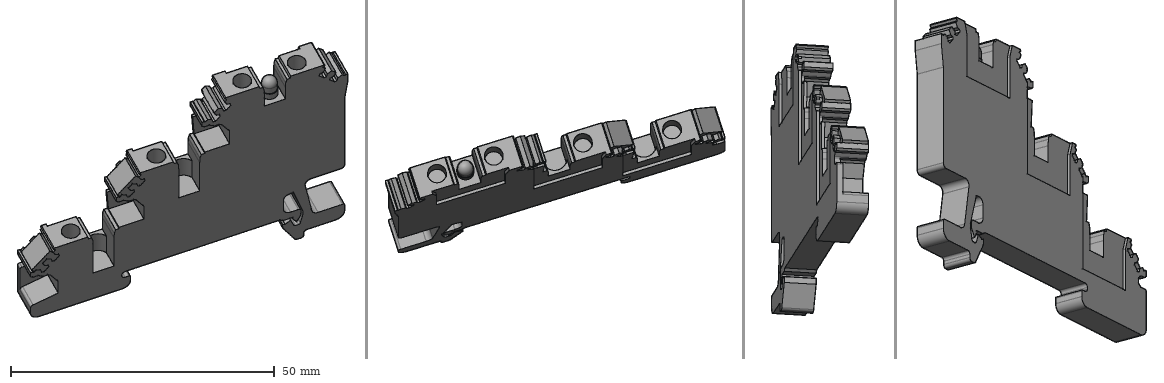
import cadquery as cq
import math


WIDTH = 6.2
LEVEL_STEP_Y = 17.7
LEVEL_STEP_Z = 13.65
TOP_Z = 48.3
END_REACH = 15.1
LEVELS = [(LEVEL_STEP_Y * (1 - n), TOP_Z - LEVEL_STEP_Z * n) for n in range(3)]
TOP_LEVEL, MIDDLE_LEVEL, LOW_LEVEL = LEVELS

SLOT_HALF = 2.15
SLOT_DEPTH = 6.2
SHELF_DROP = 0.6
SHELF_HALF = 2.5

BORE_X = 3.55
SCREW_OFFSET = 5.65
SCREW_RADIUS = 1.8
SCREW_DEPTH = 4.6
POCKET_RADIUS = 2.35
POCKET_DEPTH = 4.85
RECESS_DEPTH = 0.6
RECESS_DROP = 11.0
RECESS_KNEE = 2.6
RECESS_LEAN = 0.8
TOP_RECESS_HALF = 6.8
STEP_RECESS_FRONT = -8.4
STEP_RECESS_REAR = 5.25
SIDE_WALL = 1.2

GROOVE_CENTRE = (-9.65, -3.2)
GROOVE_PITCH = 3.1
LIP_HALF = 0.9
LIP_HEIGHT = 2.05
TAG_HEIGHT = 2.95
TAG_TAIL = 4.45

FLANGE_RADIUS = 1.65
FLANGE_HEIGHT = 1.5
LENS_RADIUS = 1.5
LENS_BARREL = 1.5



def at_level(points, level):
    return [(y + level[0], z + level[1]) for y, z in points]


def mirrored(points):
    """Mirror level points about the slot's centre, and turn their order round."""
    return [(-y, z) for y, z in reversed(points)]


def extruded(points, x_start=0.0, x_end=WIDTH):
    plane = cq.Workplane("YZ", origin=(x_start, 0, 0))
    return plane.polyline(points).close().extrude(x_end - x_start)


def slope_point(along, height):
    """Level point given by its distance down the 45-degree marker line and its height above it."""
    half_root = math.sqrt(0.5)
    y = GROOVE_CENTRE[0] - (along + height) * half_root
    z = GROOVE_CENTRE[1] - (along - height) * half_root
    return (y, z)


def marker_grooves():
    """Two undercut grooves, each symmetric about its middle, listed from the top down."""
    half_groove = [(LIP_HALF, LIP_HEIGHT), (0.625, 1.05), (1.0, 0.4), (0.7, 0)]
    points = []
    for middle in (0, GROOVE_PITCH):
        points += [slope_point(middle - s, h) for s, h in half_groove]
        points += [slope_point(middle + s, h) for s, h in reversed(half_groove)]
    return points



SLOT_WALL = [
    (-SLOT_HALF, -SLOT_DEPTH),
    (-SLOT_HALF, -2.75),
    (-2.2, -1.45),
    (-SHELF_HALF, -SHELF_DROP),
]
TERMINAL_TOP = [(-3.1, -SHELF_DROP), (-3.3, 0), (-10.2, 0), (-10.4, -0.25), (-10.0, -0.65)]
NOSE_TIP = [(-14.45, -5.1), (-14.65, -4.9), (-END_REACH, -4.9)]
TERMINAL = SLOT_WALL + TERMINAL_TOP + marker_grooves() + NOSE_TIP

NOTCH_BACK = -12.6
NOTCH_FLOOR = -8.8
NOTCH_RADIUS = 0.3
NOTCH_CORNERS = [(NOTCH_BACK, -7.1), (NOTCH_BACK, -8.3)]
NOSE_NOTCH = [
    (-END_REACH, -6.05),
    (-14.65, -6.45),
    (-13.5, -6.45),
    *NOTCH_CORNERS,
    (-13.4, NOTCH_FLOOR),
]
STEP_WALL = [(-14.85, NOTCH_FLOOR), (-14.5, -LEVEL_STEP_Z - SHELF_DROP)]


BACK_Y = 32.2
RAIL_Z = 7.3
FOOT_Z = 2.5
FRONT_Y = LOW_LEVEL[0] - END_REACH
REAR_FOOT_Z = 1.9
HEEL_Y = -12.15
BACK_FLOOR_Z = 16.35

FRONT_FOOT = [
    (FRONT_Y, LOW_LEVEL[1] + NOTCH_FLOOR, 0.4),
    (FRONT_Y, FOOT_Z, 1.8),
    (HEEL_Y, FOOT_Z, 1.7),
    (HEEL_Y, 5.65, 0.3),
    (-13.9, 5.65, 0.65),
    (-13.9, RAIL_Z, 0.65),
]
HOOK = [
    (18.8, RAIL_Z, 0),
    (19.4, 6.8, 0),
    (21.5, 6.8, 0),
    (21.5, 6.3, 0),
    (22.2, 5.2, 0),
    (23.1, 6.75, 0),
    (23.1, 8.6, 0.5),
]
SPRING_GAP = [
    (19.5, 8.6, 1.45),
    (19.5, 14.0, 1.25),
    (21.6, 14.0, 0),
    (23.5, 7.7, 0),
    (23.5, 6.75, 0),
    (22.9, 4.2, 0.4),
    (21.7, 4.2, 0.4),
    (20.95, 6.25, 0),
]
REAR_FOOT = [
    (19.8, 5.6, 0),
    (19.3, 5.8, 0),
    (19.35, 4.6, 0),
    (22.0, 0, 0.65),
    (23.7, 0, 0.65),
    (23.7, REAR_FOOT_Z, 0.6),
    (BACK_Y, REAR_FOOT_Z, 2.0),
    (BACK_Y, 5.85, 0.45),
    (25.55, 5.85, 1.3),
]
BACK = [
    (23.75, BACK_FLOOR_Z, 1.2),
    (BACK_Y, BACK_FLOOR_Z, 0.9),
    (BACK_Y, 36.75, 0),
    (TOP_LEVEL[0] + END_REACH, 41.35, 0),
]
UNDERSIDE = FRONT_FOOT + HOOK + SPRING_GAP + REAR_FOOT + BACK


def round_edge(body, y, z, radius):
    """Round the edge along X that passes through (y, z)."""
    reach = 0.03
    corner_box = cq.selectors.BoxSelector((0, y - reach, z - reach), (WIDTH, y + reach, z + reach))
    return body.edges("|X").edges(corner_box).fillet(radius)


def housing_blank():
    outline = at_level(mirrored(TERMINAL), TOP_LEVEL)
    for level, next_level in ((TOP_LEVEL, MIDDLE_LEVEL), (MIDDLE_LEVEL, LOW_LEVEL)):
        outline += at_level(TERMINAL + NOSE_NOTCH + STEP_WALL, level)
        outline += at_level(mirrored(SLOT_WALL), next_level)
    outline += at_level(TERMINAL + NOSE_NOTCH, LOW_LEVEL)
    outline += [(y, z) for y, z, _ in UNDERSIDE]
    blank = extruded(outline)
    for y, z, radius in UNDERSIDE:
        if radius > 0:
            blank = round_edge(blank, y, z, radius)
    for level in LEVELS:
        for y, z in at_level(NOTCH_CORNERS, level):
            blank = round_edge(blank, y, z, NOTCH_RADIUS)
    return blank




def recess_side(y):
    """Outer side of a recess at the level point y, upright below and leaning outwards to the top."""
    return [(y, -RECESS_DROP), (y, -RECESS_KNEE), (y + math.copysign(RECESS_LEAN, y), 0)]


TOP_RECESS = recess_side(TOP_RECESS_HALF) + mirrored(recess_side(TOP_RECESS_HALF))
STEP_RECESS = recess_side(STEP_RECESS_FRONT) + [
    (STEP_RECESS_FRONT - RECESS_LEAN, LEVEL_STEP_Z),
    (STEP_RECESS_REAR, LEVEL_STEP_Z),
    (STEP_RECESS_REAR, -RECESS_DROP),
]


def side_recess(outline, level):
    return extruded(at_level(outline, level), 0, RECESS_DEPTH)


def vertical_bore(level, offset, floor, radius, depth):
    centre = (BORE_X, level[0] + offset, level[1] + floor - depth)
    return cq.Workplane("XY", origin=centre).circle(radius).extrude(depth)


def slot_pocket(level):
    """Pocket below the slot floor: round on the -X side, open on the +X side."""
    bore = vertical_bore(level, 0, -SLOT_DEPTH, POCKET_RADIUS, POCKET_DEPTH)
    floor = -SLOT_DEPTH - POCKET_DEPTH
    slot_shadow = [
        (-SLOT_HALF, -SLOT_DEPTH),
        (SLOT_HALF, -SLOT_DEPTH),
        (SLOT_HALF, floor),
        (-SLOT_HALF, floor),
    ]
    mouth = extruded(at_level(slot_shadow, level), BORE_X, WIDTH)
    below_slot = extruded(at_level(slot_shadow, level))
    return bore.intersect(below_slot).union(mouth)


ENTRY_BACK = -9.4
ENTRY_MOUTH = -15.75
ENTRY_TOP = -7.15
ENTRY_ROOF = [(ENTRY_MOUTH, ENTRY_TOP), (-11.5, ENTRY_TOP), (-10.95, -7.55), (ENTRY_BACK, -10.1)]
ENTRY_FLOOR = [(ENTRY_BACK, -13.85), (ENTRY_MOUTH, -13.85)]
LOW_FLOOR_FRONT = -14.65
LOW_FLOOR_SLOPE = 0.2
LOW_FLOOR_RADIUS = 0.65


def low_entry_floor(y):
    return (y, LOW_FLOOR_FRONT + LOW_FLOOR_SLOPE * (y + END_REACH))


def wire_entry(level):
    """Opening for a wire, open on the -Y and +X sides; on the low level its floor slopes to the front."""
    floor = ENTRY_FLOOR
    if level == LOW_LEVEL:
        floor = [low_entry_floor(ENTRY_BACK), low_entry_floor(ENTRY_MOUTH)]
    return extruded(at_level(ENTRY_ROOF + floor, level), SIDE_WALL, WIDTH)


def make_housing():
    body = housing_blank()
    body = body.cut(side_recess(TOP_RECESS, TOP_LEVEL))
    for level in (MIDDLE_LEVEL, LOW_LEVEL):
        body = body.cut(side_recess(STEP_RECESS, level))
        body = body.cut(slot_pocket(level))
    for level in LEVELS:
        body = body.cut(wire_entry(level))
        body = body.cut(vertical_bore(level, -SCREW_OFFSET, 0, SCREW_RADIUS, SCREW_DEPTH))
    front_lip = (FRONT_Y, LOW_LEVEL[1] + LOW_FLOOR_FRONT)
    body = round_edge(body, *front_lip, LOW_FLOOR_RADIUS)
    return body.cut(vertical_bore(TOP_LEVEL, SCREW_OFFSET, 0, SCREW_RADIUS, SCREW_DEPTH))




def make_lamp():
    base = (BORE_X, TOP_LEVEL[0], TOP_LEVEL[1] - SLOT_DEPTH)
    barrel_top = FLANGE_HEIGHT + LENS_BARREL
    dome_middle = (LENS_RADIUS * math.sqrt(0.5), barrel_top + LENS_RADIUS * math.sqrt(0.5))
    return (
        cq.Workplane("XZ", origin=base)
        .lineTo(FLANGE_RADIUS, 0)
        .lineTo(FLANGE_RADIUS, FLANGE_HEIGHT)
        .lineTo(LENS_RADIUS, FLANGE_HEIGHT)
        .lineTo(LENS_RADIUS, barrel_top)
        .threePointArc(dome_middle, (0, barrel_top + LENS_RADIUS))
        .close()
        .revolve(360, (0, 0, 0), (0, 1, 0))
    )


def make_marker_tag(level):
    """Tag with a flat sloping face that fills both marker grooves of its level."""
    face = [
        slope_point(TAG_TAIL, LIP_HEIGHT),
        slope_point(TAG_TAIL, TAG_HEIGHT),
        slope_point(-LIP_HALF, TAG_HEIGHT),
    ]
    return extruded(at_level(marker_grooves() + face, level), SIDE_WALL, WIDTH)


housing = make_housing()
lamp = make_lamp()
marker_tags = [make_marker_tag(level) for level in (MIDDLE_LEVEL, LOW_LEVEL)]

result = cq.Compound.makeCompound([housing.val(), lamp.val(), *[tag.val() for tag in marker_tags]])